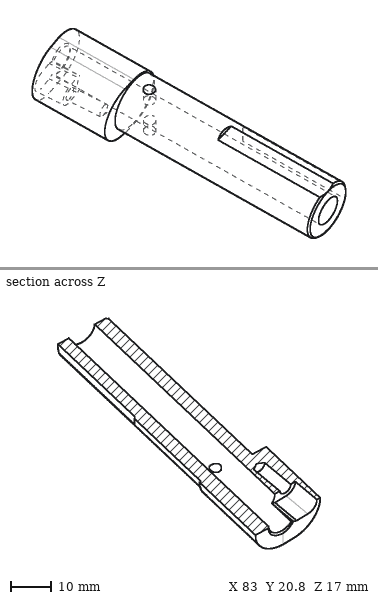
import cadquery as cq
import math

total_length = 83.0
head_length = 23.15

head_height = 17.0
head_radius = head_height / 2
head_offset = 3.8
face_slope = 3.5

shank_diameter = 16.0
shank_radius = shank_diameter / 2
end_chamfer = 0.5
flat_start = 50.6
flat_depth = 0.5

bore_radius = 4.0
mouth_chamfer = 0.5
cross_hole_diameter = 3.1
cross_hole_x = 27.9

slot_radius = 3.0
slot_centre = 8.2
slot_depth = 8.3
neck_half_width = 2.6
neck_start = 3.5
neck_end = 4.6
pocket_centre = 8.0
pocket_radius = 1.75
pocket_depth = 10.0
drill_point_angle = 118.0


def make_head():
    profile = (
        cq.Workplane("YZ")
        .moveTo(0, head_radius)
        .threePointArc((head_radius, 0), (0, -head_radius))
        .lineTo(-head_offset, -head_radius)
        .threePointArc((-head_offset - head_radius, 0), (-head_offset, head_radius))
        .close()
    )
    return profile.extrude(head_length)


def make_face_wedge():
    """Material removed so that the end face leans back below the bore axis."""
    reach = 2 * head_radius
    setback = reach * math.tan(math.radians(face_slope))
    return (
        cq.Workplane("XY")
        .polyline([(0, 0), (0, -reach), (setback, -reach)])
        .close()
        .extrude(head_radius, both=True)
    )


def make_shank():
    shank = cq.Workplane("YZ").circle(shank_radius).extrude(total_length)
    return shank.faces(">X").chamfer(end_chamfer)


def make_top_flat():
    """Shallow flat along the end of the shank, with a 45 degree run-in."""
    floor = shank_radius - flat_depth
    return (
        cq.Workplane("XZ")
        .moveTo(flat_start, shank_radius)
        .lineTo(flat_start + flat_depth, floor)
        .lineTo(total_length, floor)
        .lineTo(total_length, shank_radius)
        .close()
        .extrude(shank_radius, both=True)
    )


def make_bore():
    bore = cq.Workplane("YZ").circle(bore_radius).extrude(total_length)
    mouth = cq.Solid.makeCone(
        bore_radius + mouth_chamfer, bore_radius, mouth_chamfer,
        cq.Vector(0, 0, 0), cq.Vector(1, 0, 0),
    )
    return bore.union(mouth)


def make_side_slot():
    """Round-ended slot from the bore, with a drilled pocket in its floor."""
    slot_end = cq.Workplane("YZ").center(-slot_centre, 0).circle(slot_radius).extrude(slot_depth)
    half_outline = [
        (0, neck_half_width),
        (-neck_start, neck_half_width),
        (-neck_end, slot_radius),
        (-slot_centre, slot_radius),
    ]
    mirrored_half = [(y, -z) for y, z in reversed(half_outline)]
    slot_walls = cq.Workplane("YZ").polyline(half_outline + mirrored_half).close().extrude(slot_depth)
    point_length = pocket_radius / math.tan(math.radians(drill_point_angle / 2))
    pocket_end = slot_depth + pocket_depth
    pocket = (
        cq.Workplane("XY")
        .polyline([
            (0, -pocket_centre),
            (0, -pocket_centre + pocket_radius),
            (pocket_end, -pocket_centre + pocket_radius),
            (pocket_end + point_length, -pocket_centre),
        ])
        .close()
        .revolve(360, (0, -pocket_centre, 0), (1, -pocket_centre, 0))
    )
    cutter = slot_end.union(slot_walls).union(pocket)
    return cutter.rotate((0, 0, 0), (0, 0, 1), face_slope)


cross_hole = (
    cq.Workplane("XY")
    .center(cross_hole_x, 0)
    .circle(cross_hole_diameter / 2)
    .extrude(shank_radius, both=True)
)
top_flat = make_top_flat()
side_flat = top_flat.rotate((0, 0, 0), (1, 0, 0), -90)

result = make_shank().union(make_head())
for cutter in (make_face_wedge(), make_bore(), make_side_slot(), cross_hole, top_flat, side_flat):
    result = result.cut(cutter)